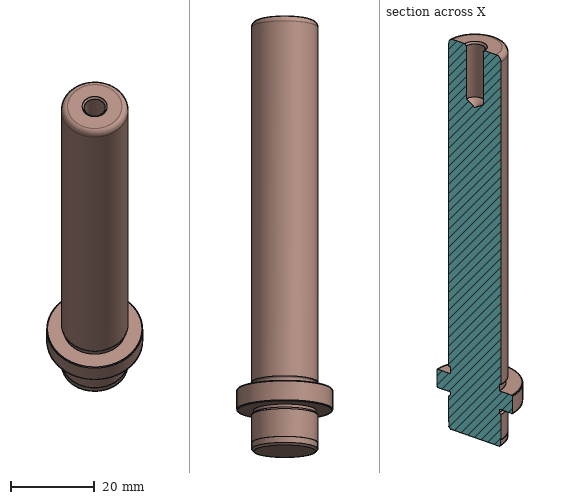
import cadquery as cq
import math

total_length = 105.0
shaft_radius = 16.0 / 2
neck_radius = 15.0 / 2
flange_radius = 23.0 / 2

flange_bottom = 10.0
flange_top = 15.0
upper_neck_length = 1.8
lower_neck_length = 0.7

top_round = 1.5
neck_fillet = 0.2
flange_chamfer = 0.2
spigot_chamfer = 0.5

lead_radius = 15.9 / 2
lead_length = 2.0

hole_radius = 5.0 / 2
hole_depth = 14.7
hole_mouth_radius = 6.0 / 2
drill_point_angle = 118.0


def make_body():
    """Revolve the outer outline of the stepped pin."""
    lower_neck_bottom = flange_bottom - lower_neck_length
    spigot_top = lower_neck_bottom - (shaft_radius - neck_radius)
    upper_neck_top = flange_top + upper_neck_length
    round_centre_radius = shaft_radius - top_round
    round_centre_height = total_length - top_round
    round_mid_offset = top_round * math.sqrt(0.5)

    outline = (
        cq.Workplane("XZ")
        .moveTo(0, 0)
        .lineTo(lead_radius - spigot_chamfer, 0)
        .lineTo(lead_radius, spigot_chamfer)
        .lineTo(lead_radius, lead_length)
        .lineTo(shaft_radius, lead_length)
        .lineTo(shaft_radius, spigot_top)
        .lineTo(neck_radius, lower_neck_bottom)
        .lineTo(neck_radius, flange_bottom)
        .lineTo(flange_radius - flange_chamfer, flange_bottom)
        .lineTo(flange_radius, flange_bottom + flange_chamfer)
        .lineTo(flange_radius, flange_top - flange_chamfer)
        .lineTo(flange_radius - flange_chamfer, flange_top)
        .lineTo(neck_radius, flange_top)
        .lineTo(neck_radius, upper_neck_top - neck_fillet)
        .radiusArc((neck_radius + neck_fillet, upper_neck_top), neck_fillet)
        .lineTo(shaft_radius, upper_neck_top)
        .lineTo(shaft_radius, round_centre_height)
        .threePointArc(
            (round_centre_radius + round_mid_offset, round_centre_height + round_mid_offset),
            (round_centre_radius, total_length),
        )
        .lineTo(0, total_length)
        .close()
    )
    return outline.revolve(360, (0, 0), (0, 1))


def make_hole():
    """Revolve the countersunk blind hole with its conical drill point."""
    hole_floor = total_length - hole_depth
    point_length = hole_radius / math.tan(math.radians(drill_point_angle / 2))
    countersink_depth = hole_mouth_radius - hole_radius

    outline = (
        cq.Workplane("XZ")
        .moveTo(0, total_length)
        .lineTo(hole_mouth_radius, total_length)
        .lineTo(hole_radius, total_length - countersink_depth)
        .lineTo(hole_radius, hole_floor)
        .lineTo(0, hole_floor - point_length)
        .close()
    )
    return outline.revolve(360, (0, 0), (0, 1))


result = make_body().cut(make_hole())